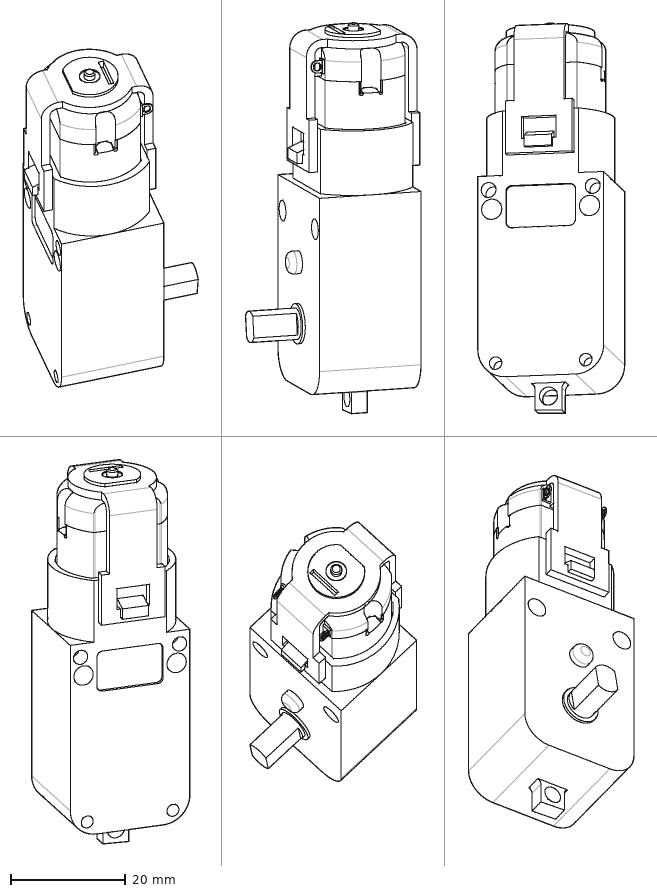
import cadquery as cq


block_width = 22.5
block_front_y = -8.7
block_back_y = 10.15
block_height = 36.0
block_corner_radius = 5.0
half_block_width = block_width / 2
half_collar_depth = 8.7
collar_centre_y = 0.3
collar_top_z = 47.5
bore_clearance = 0.3

mount_hole_x, mount_hole_z, mount_hole_radius = 8.75, 30.0, 1.8
upper_hole_x, upper_hole_z, upper_hole_radius = 9.3, 33.5, 1.3
lower_hole_x, lower_hole_z, lower_hole_radius = 8.05, 2.5, 1.1
blind_hole_depth = 4.2

panel_width = 12.4
panel_bottom_z, panel_top_z = 26.6, 34.1
panel_corner_radius = 1.05
panel_depth = 0.6

tab_width = 4.85
tab_thickness = 3.0
tab_centre_y = -0.3
tab_left_bottom_z, tab_right_bottom_z = -4.8, -5.0
tab_flare = 0.6
tab_flare_height = 1.05
tab_flare_radius = (tab_flare**2 + tab_flare_height**2) / (2 * tab_flare)
tab_hole_z = -2.35
tab_hole_radius = 1.6

peg_z = 22.4
peg_radius = 2.0
peg_end_y = 12.2
peg_round = 1.05
flange_radius = 3.55
flange_end_y = 10.6

latch_width = 4.85
latch_reach = 11.25
latch_bottom_z = 40.55
latch_neck_bottom_z = 42.15
latch_nose_z = 42.5
latch_root_z = 43.55

shaft_z = 11.45
shaft_radius = 2.8
shaft_end_y = 19.25
shaft_flat_start_y = 11.2
shaft_flat_offset = 2.0
shaft_turn = 9.2

can_radius = 9.7
can_half_depth = 7.4
can_edge_round = 0.35
can_top_z = 56.0
cap_top_z = 61.45
cap_dome_radius = 1.95
motor_shaft_radius = 1.0
motor_shaft_top_z = 64.45
motor_shaft_chamfer = 0.3

groove_radius = 1.8
groove_centre_x = 9.4
groove_floor_z = 53.75
notch_half_width = 2.15
notch_inner_x = 7.3
tongue_setback = 0.3
stop_half_width = 1.45
relief_hole_z = 53.8
relief_hole_radius = 0.35
stop_inner_z, stop_outer_z = 54.45, 53.9

boss_radius = 5.0
boss_flat_y = -4.0
boss_top_z = 63.5
bearing_recess_radius = 1.8
bearing_recess_depth = 0.2
vent_width = 6.1
vent_front_y, vent_back_y = 2.6, 3.5
vent_depth = 1.4

terminal_block_width = 8.9
terminal_block_bottom_z = 56.4
terminal_z = 58.35
pad_inner_x, pad_outer_x = 4.45, 6.05
pad_height = 2.5
pad_back_y = 7.85

terminal_inner_x, terminal_outer_x = 5.55, 5.8
terminal_radius = 1.1
terminal_end_y = 9.8
terminal_hole_radius = 0.7

clip_half_depth = 10.3
clip_top_z = 62.9
clip_bend_radius = 3.05
clip_inner_bend = half_collar_depth - can_half_depth
strap_width = 8.95
foot_width = 11.95
foot_top_z = 48.95
foot_bottom_z = 39.6
disc_radius = 7.8
window_width = 6.1
window_bottom_z, window_top_z = latch_neck_bottom_z, 46.05


def box(x0, x1, y0, y1, z0, z1):
    """Box between two opposite corners."""
    return cq.Workplane("XY").box(x1 - x0, y1 - y0, z1 - z0, centered=False).translate((x0, y0, z0))


def rod_y(x, z, radius, y0, y1):
    """Cylinder along Y."""
    return cq.Workplane("XZ", origin=(x, y0, z)).circle(radius).extrude(y0 - y1)


def rod_z(x, y, radius, z0, z1):
    """Cylinder along Z."""
    return cq.Workplane("XY", origin=(x, y, z0)).circle(radius).extrude(z1 - z0)


def double_flat_prism(radius, half_depth, z0, z1):
    """Round bar along Z, cut flat at the front and the back."""
    return rod_z(0, 0, radius, z0, z1).intersect(box(-radius, radius, -half_depth, half_depth, z0, z1))


def gearbox_block():
    block = box(-half_block_width, half_block_width, block_front_y, block_back_y, 0, block_height)
    return block.edges("|Y and <Z").fillet(block_corner_radius)


def collar():
    collar_body = rod_z(0, collar_centre_y, half_block_width, block_height, collar_top_z)
    envelope = box(-half_block_width, half_block_width, -half_collar_depth, half_collar_depth,
                   block_height, collar_top_z)
    bore = double_flat_prism(can_radius + bore_clearance, can_half_depth, block_height, collar_top_z)
    return collar_body.intersect(envelope).cut(bore)


def latch(side):
    """Snap hook on the front (side = -1) or back (side = 1) flat of the collar."""
    outline = [
        (half_collar_depth, latch_neck_bottom_z),
        (clip_half_depth, latch_neck_bottom_z),
        (clip_half_depth, latch_bottom_z),
        (latch_reach, latch_bottom_z),
        (latch_reach, latch_nose_z),
        (half_collar_depth, latch_root_z),
    ]
    points = [(side * y, z) for y, z in outline]
    return cq.Workplane("YZ").polyline(points).close().extrude(latch_width / 2, both=True)


def mounting_tab():
    half = tab_width / 2
    top = half + tab_flare
    plate = (
        cq.Workplane("XZ", origin=(0, tab_centre_y, 0))
        .moveTo(-top, 0)
        .radiusArc((-half, -tab_flare_height), tab_flare_radius)
        .lineTo(-half, tab_left_bottom_z)
        .lineTo(half, tab_right_bottom_z)
        .lineTo(half, -tab_flare_height)
        .radiusArc((top, 0), tab_flare_radius)
        .close()
        .extrude(tab_thickness / 2, both=True)
    )
    return plate.cut(rod_y(0, tab_hole_z, tab_hole_radius, -tab_thickness, tab_thickness))


def label_recess():
    recess = box(-panel_width / 2, panel_width / 2, block_front_y, block_front_y + panel_depth,
                 panel_bottom_z, panel_top_z)
    return recess.edges("|Y").fillet(panel_corner_radius)


def make_housing():
    body = gearbox_block().union(collar()).union(mounting_tab())
    for side in (-1, 1):
        body = body.union(latch(side))
    peg = rod_y(0, peg_z, peg_radius, block_back_y, peg_end_y).faces(">Y").edges().fillet(peg_round)
    flange = rod_y(0, shaft_z, flange_radius, block_back_y, flange_end_y)
    body = body.union(peg).union(flange).cut(label_recess())
    blind_end_y = block_front_y + blind_hole_depth
    holes = [
        (mount_hole_x, mount_hole_z, mount_hole_radius, block_back_y),
        (upper_hole_x, upper_hole_z, upper_hole_radius, blind_end_y),
        (lower_hole_x, lower_hole_z, lower_hole_radius, blind_end_y),
    ]
    for x, z, radius, end_y in holes:
        for side in (-1, 1):
            body = body.cut(rod_y(side * x, z, radius, block_front_y, end_y))
    return body


def make_output_shaft():
    """Shaft standing on the flange, with two parallel flats along its outer part."""
    shaft = rod_y(0, shaft_z, shaft_radius, flange_end_y, shaft_end_y)
    for side in (-1, 1):
        flat_x, outer_x = sorted((side * shaft_flat_offset, side * 2 * shaft_radius))
        waste = box(flat_x, outer_x, shaft_flat_start_y, shaft_end_y,
                    shaft_z - shaft_radius, shaft_z + shaft_radius)
        shaft = shaft.cut(waste.rotate((0, 0, shaft_z), (0, 1, shaft_z), shaft_turn))
    return shaft


def side_groove(side):
    return rod_z(side * groove_centre_x, 0, groove_radius, groove_floor_z, cap_top_z)


def bent_stop(side):
    """Sloped lip of the can at the foot of a side groove."""
    inner_x = groove_centre_x - groove_radius
    points = [
        (side * inner_x, groove_floor_z),
        (side * can_radius, groove_floor_z),
        (side * can_radius, stop_outer_z),
        (side * inner_x, stop_inner_z),
    ]
    wedge = cq.Workplane("XZ").polyline(points).close().extrude(stop_half_width, both=True)
    return wedge.intersect(rod_z(0, 0, can_radius, groove_floor_z, can_top_z))


def rim_notch(side):
    """Notch in the can rim, as deep as the groove and a little wider."""
    x0, x1 = sorted((side * notch_inner_x, side * can_radius))
    return box(x0, x1, -notch_half_width, notch_half_width, groove_floor_z, can_top_z)


def relief_hole(side, y):
    """Round relief at a lower corner of a rim notch."""
    start_x = side * notch_inner_x
    length = side * (can_radius - notch_inner_x)
    return cq.Workplane("YZ", origin=(start_x, y, relief_hole_z)).circle(relief_hole_radius).extrude(length)


def cap_tongue(side):
    """Tongue of the end cap that hangs into a rim notch, set back from the can surface."""
    return rim_notch(side).intersect(rod_z(0, 0, can_radius - tongue_setback, groove_floor_z, can_top_z))


def make_motor():
    """Can with its shaft."""
    can = double_flat_prism(can_radius, can_half_depth, block_height, can_top_z)
    can = can.edges("|Z").fillet(can_edge_round)
    for side in (-1, 1):
        can = can.cut(rim_notch(side)).union(bent_stop(side))
        for y in (-groove_radius, groove_radius):
            can = can.cut(relief_hole(side, y))
    shaft = rod_z(0, 0, motor_shaft_radius, can_top_z, motor_shaft_top_z)
    return can.union(shaft.faces(">Z").chamfer(motor_shaft_chamfer))


def bearing_boss():
    boss = rod_z(0, 0, boss_radius, cap_top_z, boss_top_z)
    return boss.intersect(box(-boss_radius, boss_radius, boss_flat_y, boss_radius, cap_top_z, boss_top_z))


def terminal_block():
    """Block at the back of the cap that fills the space under the strap."""
    half = terminal_block_width / 2
    block = box(-half, half, 0, half_collar_depth, terminal_block_bottom_z, cap_top_z)
    return block.edges("|X and >Y and >Z").fillet(clip_inner_bend)


def make_end_cap():
    dome = rod_z(0, 0, can_radius, can_top_z, cap_top_z).faces(">Z").edges().fillet(cap_dome_radius)
    flats = double_flat_prism(can_radius, can_half_depth, can_top_z, cap_top_z)
    flats = flats.edges("|Z").fillet(can_edge_round)
    cap = dome.intersect(flats).union(bearing_boss())
    for side in (-1, 1):
        cap = cap.union(cap_tongue(side)).cut(side_groove(side)).cut(bent_stop(side))
        x0, x1 = sorted((side * pad_inner_x, side * pad_outer_x))
        cap = cap.union(box(x0, x1, 0, pad_back_y, terminal_z - pad_height / 2, terminal_z + pad_height / 2))
    cap = cap.union(terminal_block())
    cap = cap.cut(box(-vent_width / 2, vent_width / 2, vent_front_y, vent_back_y,
                      boss_top_z - vent_depth, boss_top_z))
    cap = cap.cut(rod_z(0, 0, bearing_recess_radius, boss_top_z - bearing_recess_depth, boss_top_z))
    return cap.cut(rod_z(0, 0, motor_shaft_radius, can_top_z, boss_top_z))


def make_terminal(side):
    """Flat solder lug with a round, pierced end."""
    eye_y = terminal_end_y - terminal_radius
    x0 = min(side * terminal_inner_x, side * terminal_outer_x)
    thickness = terminal_outer_x - terminal_inner_x
    return (
        cq.Workplane("YZ", origin=(x0, 0, 0))
        .moveTo(pad_back_y, terminal_z - terminal_radius)
        .lineTo(eye_y, terminal_z - terminal_radius)
        .threePointArc((terminal_end_y, terminal_z), (eye_y, terminal_z + terminal_radius))
        .lineTo(pad_back_y, terminal_z + terminal_radius)
        .close()
        .moveTo(eye_y, terminal_z)
        .circle(terminal_hole_radius)
        .extrude(thickness)
    )


def strap_arch(half_depth, top_z, bend_radius):
    """Solid arch that spans the motor, rounded at its two upper corners."""
    half = strap_width / 2
    arch = box(-half, half, -half_depth, half_depth, foot_bottom_z, top_z)
    return arch.edges("|X and >Z").fillet(bend_radius)


def feet():
    """Wider lower ends of the two strap legs."""
    half = foot_width / 2
    outside = box(-half, half, -clip_half_depth, clip_half_depth, foot_bottom_z, foot_top_z)
    inside = box(-half, half, -half_collar_depth, half_collar_depth, foot_bottom_z, foot_top_z)
    return outside.cut(inside)


def make_clip():
    """Strap over the motor with a round top disc and a latch window in each foot."""
    clip = strap_arch(clip_half_depth, clip_top_z, clip_bend_radius)
    clip = clip.cut(strap_arch(half_collar_depth, cap_top_z, clip_inner_bend)).union(feet())
    disc_half_depth = clip_half_depth - clip_bend_radius
    clip = clip.union(double_flat_prism(disc_radius, disc_half_depth, cap_top_z, clip_top_z))
    half_window = window_width / 2
    windows = box(-half_window, half_window, -clip_half_depth, clip_half_depth,
                  window_bottom_z, window_top_z)
    return clip.cut(windows).cut(bearing_boss())


housing = make_housing()
output_shaft = make_output_shaft()
motor = make_motor()
end_cap = make_end_cap()
clip = make_clip()
terminals = [make_terminal(side) for side in (-1, 1)]

result = cq.Compound.makeCompound([
    housing.solids().val(),
    output_shaft.solids().val(),
    motor.solids().val(),
    end_cap.solids().val(),
    clip.solids().val(),
    *[terminal.solids().val() for terminal in terminals],
])